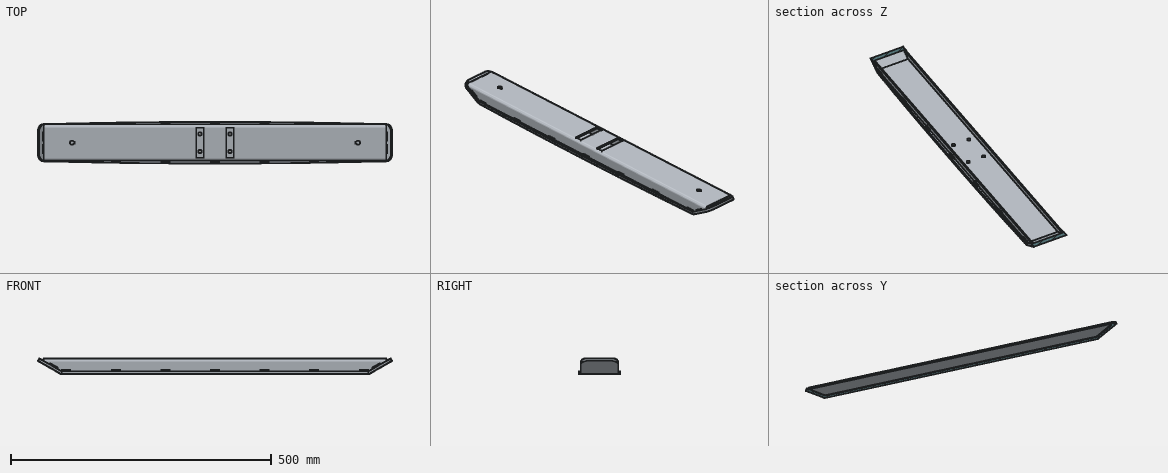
import cadquery as cq
import math

length = 680.0
width = 80.0
height = 30.0

plate_thickness = 5.5
bend_angle = 30.0
tray_straight_x = 32.0
tray_taper_x = 294.0
tray_taper_width = 73.5
tray_end_width = 72.0
tray_corner_radius = 13.5

cover_length = 658.0
cover_width = 70.0
cover_edge_radius = 6.45
cover_wall = 3.5

slot_inner_x = 22.0
slot_outer_x = 36.0
mount_hole_diameter = 6.0
mount_hole_y = 17.0

keyhole_x = 275.0
keyhole_diameter = 7.5
keyhole_neck_width = 3.5
keyhole_neck_reach = 5.5

wedge_length = 16.0
side_wedge_reach = 1.7
side_wedge_height = 2.4
end_wedge_reach = 2.0
end_wedge_height = 4.0
wedge_root = 1.5
side_wedge_count = 7
side_wedge_pitch = 95.0
slope_wedge_x = 310.0
end_wedge_y = 12.0

bend_sin = math.sin(math.radians(bend_angle))
bend_cos = math.cos(math.radians(bend_angle))
bend_tan = math.tan(math.radians(bend_angle))
half_length = length / 2
tip_bottom_z = height - plate_thickness * bend_cos
tip_top_x = half_length - plate_thickness * bend_sin
bend_bottom_x = half_length - tip_bottom_z / bend_tan
bend_top_x = tip_top_x - (height - plate_thickness) / bend_tan
cover_end_x = cover_length / 2
tray_end_ledge = (tray_end_width - cover_width) / 2
slot_width = slot_outer_x - slot_inner_x
slot_x = (slot_inner_x + slot_outer_x) / 2


def slope_top_z(x):
    """Height of the upper face of the bent tray end at distance x from the middle."""
    return plate_thickness + (x - bend_top_x) * bend_tan


def profile_prism(points, depth):
    """Prism along Y, centred on Y = 0, over an XZ outline."""
    return cq.Workplane("XZ").polyline(points).close().extrude(depth / 2, both=True)


def make_tray_outline():
    """Plan of the tray: straight middle, edges bowed inwards, then narrower parallel ends.

    The bow sets off along the straight middle, so halfway along it has a quarter of its inset.
    """
    taper_y = tray_taper_width / 2
    end_y = tray_end_width / 2
    bow_x = (tray_straight_x + tray_taper_x) / 2
    bow_y = width / 2 - (width / 2 - taper_y) / 4
    back_half = (
        cq.Workplane("XY")
        .moveTo(half_length, 0)
        .lineTo(half_length, end_y)
        .lineTo(tray_taper_x, end_y)
        .lineTo(tray_taper_x, taper_y)
        .threePointArc((bow_x, bow_y), (tray_straight_x, width / 2))
        .lineTo(-tray_straight_x, width / 2)
        .threePointArc((-bow_x, bow_y), (-tray_taper_x, taper_y))
        .lineTo(-tray_taper_x, end_y)
        .lineTo(-half_length, end_y)
        .lineTo(-half_length, 0)
    )
    return back_half.mirrorX()


def make_tray():
    right_side = [
        (bend_bottom_x, 0),
        (half_length, tip_bottom_z),
        (tip_top_x, height),
        (bend_top_x, plate_thickness),
    ]
    left_side = [(-x, z) for x, z in reversed(right_side)]
    bent_plate = profile_prism(right_side + left_side, width)
    tray = bent_plate.intersect(make_tray_outline().extrude(height))
    tip_x = (half_length + tip_top_x) / 2
    tip_z = (height + tip_bottom_z) / 2
    for end in (-1, 1):
        for side in (-1, 1):
            corner = cq.selectors.NearestToPointSelector((end * tip_x, side * tray_end_width / 2, tip_z))
            tray = tray.edges(corner).fillet(tray_corner_radius)
    return tray


def cover_block(block_length, block_width, top_z, edge_radius):
    """Block with rounded long top edges, cut off below by the upper face of the tray."""
    block = (
        cq.Workplane("XY")
        .box(block_length, block_width, top_z, centered=(True, True, False))
        .edges("|X and >Z")
        .fillet(edge_radius)
    )
    end_x = block_length / 2
    end_z = slope_top_z(end_x)
    above_tray = [
        (-bend_top_x, plate_thickness),
        (bend_top_x, plate_thickness),
        (end_x, end_z),
        (end_x, top_z),
        (-end_x, top_z),
        (-end_x, end_z),
    ]
    return block.intersect(profile_prism(above_tray, block_width))


def make_cover():
    shell = cover_block(cover_length, cover_width, height, cover_edge_radius)
    cavity = cover_block(
        cover_length - 2 * cover_wall,
        cover_width - 2 * cover_wall,
        height - cover_wall,
        cover_edge_radius - cover_wall,
    )
    return shell.cut(cavity)


def make_side_wedge(reach):
    """Triangular wedge along X, in the corner of a floor at Z = 0 and a wall at Y = 0.

    It reaches out towards -Y and is rooted slightly below the floor and behind the wall.
    """
    outline = [
        (-reach, 0),
        (0, side_wedge_height),
        (wedge_root, side_wedge_height),
        (wedge_root, -wedge_root),
        (-reach, -wedge_root),
    ]
    return cq.Workplane("YZ").polyline(outline).close().extrude(wedge_length / 2, both=True)


def make_end_wedge():
    """Wedge along Y, in the corner of the +X end wall of the cover and the bent tray end."""
    toe_x = cover_end_x + end_wedge_reach
    toe_z = slope_top_z(toe_x)
    wall_z = slope_top_z(cover_end_x)
    outline = [
        (cover_end_x - wedge_root, wall_z - wedge_root),
        (toe_x, toe_z - wedge_root),
        (toe_x, toe_z),
        (cover_end_x, wall_z + end_wedge_height),
        (cover_end_x - wedge_root, wall_z + end_wedge_height),
    ]
    return profile_prism(outline, wedge_length)


def make_wedges():
    front_wall_y = -cover_width / 2
    row_start_x = -(side_wedge_count - 1) / 2 * side_wedge_pitch
    front_wedges = []
    for index in range(side_wedge_count):
        place = (row_start_x + index * side_wedge_pitch, front_wall_y, plate_thickness)
        front_wedges.append(make_side_wedge(side_wedge_reach).translate(place))
    for end in (-1, 1):
        tilted = make_side_wedge(tray_end_ledge).rotate((0, 0, 0), (0, 1, 0), -end * bend_angle)
        place = (end * slope_wedge_x, front_wall_y, slope_top_z(slope_wedge_x))
        front_wedges.append(tilted.translate(place))
    right_wedges = [make_end_wedge().translate((0, side * end_wedge_y, 0)) for side in (-1, 1)]
    back_wedges = [wedge.mirror("XZ") for wedge in front_wedges]
    left_wedges = [wedge.mirror("YZ") for wedge in right_wedges]
    return front_wedges + back_wedges + right_wedges + left_wedges


def make_openings():
    flat_width = cover_width - 2 * cover_edge_radius
    top = cq.Workplane("XY").workplane(offset=height)
    slots = top.pushPoints([(-slot_x, 0), (slot_x, 0)]).rect(slot_width, flat_width).extrude(-cover_wall)
    holes = (
        cq.Workplane("XY")
        .rect(2 * slot_x, 2 * mount_hole_y, forConstruction=True)
        .vertices()
        .circle(mount_hole_diameter / 2)
        .extrude(plate_thickness)
    )
    openings = slots.union(holes)
    for end in (-1, 1):
        bulb = top.center(end * keyhole_x, 0).circle(keyhole_diameter / 2).extrude(-cover_wall)
        neck = (
            top.center(end * (keyhole_x - keyhole_neck_reach / 2), 0)
            .rect(keyhole_neck_reach, keyhole_neck_width)
            .extrude(-cover_wall)
        )
        openings = openings.union(bulb).union(neck)
    return openings


body = make_tray().union(make_cover())
for wedge in make_wedges():
    body = body.union(wedge)
result = body.cut(make_openings())